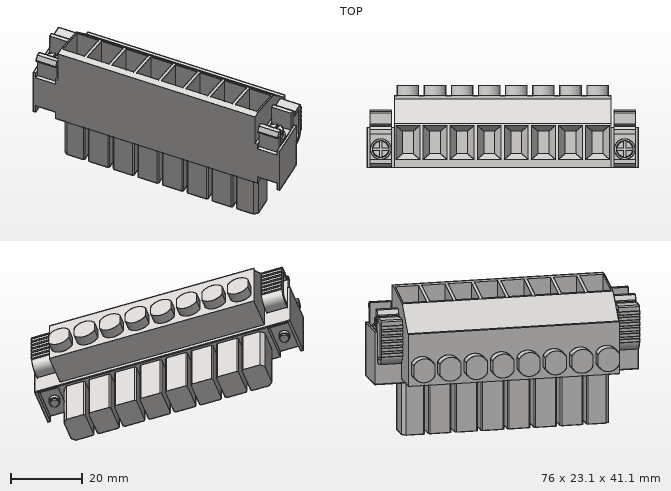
import cadquery as cq
import math


pole_count = 8
pole_pitch = 7.6
flange_width = 7.6
body_width = pole_count * pole_pitch
total_width = body_width + 2 * flange_width
first_pole_x = -(pole_count - 1) * pole_pitch / 2
pole_centers = [first_pole_x + i * pole_pitch for i in range(pole_count)]
flange_center = (body_width + flange_width) / 2

leg_length = 15.4
top_z = 41.15
body_depth = 20.2
rear_bottom_z = 16.8
rear_ledge_z = 31.85
rear_slope_y = 19.2
ridge_y = 12.35
ridge_z = 38.8
rim_depth = 2.45
flange_depth = 11.3
flange_top_z = 30.8
flange_bevel = 0.2

funnel_width = 6.7
funnel_front_y = 2.3
funnel_rear_y = 11.8
funnel_floor_width = 3.05
funnel_floor_front_y = 3.9
funnel_floor_rear_y = 10.2
funnel_start_z = 28.95
funnel_floor_z = 26.2

collar_diameter = 6.9
collar_width = 6.1
collar_length = 2.9
collar_z = 21.8

leg_width = 6.55
leg_front_y = 2.5
leg_rear_y = 10.4
leg_bevel = 0.4
end_bevel_x = 1.1
end_bevel_y = 1.0

clip_width = 6.1
clip_bottom_z = 21.8
seat_z = 30.3
post_thickness = 1.2
front_post_y = 1.1
rear_post_y = 10.7
hook_reach = 0.9
hook_top_z = 36.95
hook_tip_z = 35.65
hook_under_z = 35.3
lever_thickness = 1.3
lever_rear_y = 15.8
lever_radius = 2.7
lever_top_z = 35.1
lever_corner = 0.4
lever_tip_y = 11.7
lever_tip_slope = 0.45
tooth_count = 6
tooth_pitch = 1.6
tooth_height = 0.9
tooth_depth = 0.45
first_tooth_top_z = 33.5

front_notch_z = 28.95
relief_top_z = 17.9
relief_depth = 10.7

screw_y = 5.2
shaft_radius = 1.5
tip_radius = 1.3
tip_z = 16.1
shaft_end_z = 16.8
washer_radius = 2.9
washer_top_z = 31.2
head_radius = 2.4
head_top_z = 33.2
head_bevel = 0.15
slot_width = 0.7
slot_depth = 0.9


def box(x_center, width, y_front, y_rear, z_bottom, z_top):
    """Block centred on x_center, between the given Y and Z limits."""
    start = cq.Workplane("XY", origin=(x_center, y_front, z_bottom))
    return start.box(width, y_rear - y_front, z_top - z_bottom, centered=(True, False, False))


def cylinder(x_center, radius, z_bottom, z_top):
    """Upright cylinder on the axis of a flange screw."""
    start = cq.Workplane("XY", origin=(x_center, screw_y, z_bottom))
    return start.circle(radius).extrude(z_top - z_bottom)


def prism(outline, x_center, width):
    """Closed YZ outline swept along X by width, centred on x_center."""
    return outline.close().extrude(width / 2, both=True).translate((x_center, 0, 0))


def terminal_block():
    """Stepped block over all poles, on a bar that reaches past both ends of it as the two flanges."""
    outline = cq.Workplane("YZ").polyline([
        (0, rear_bottom_z),
        (0, top_z),
        (rim_depth, top_z),
        (ridge_y, ridge_z),
        (rear_slope_y, rear_ledge_z),
        (body_depth, rear_ledge_z),
        (body_depth, rear_bottom_z),
    ])
    flange_bar = box(0, total_width, 0, flange_depth, leg_length, flange_top_z)
    flange_bar = flange_bar.edges("|X and >Y and <Z").chamfer(flange_bevel)
    return prism(outline, 0, body_width).union(flange_bar)


def wire_funnel(x):
    """Straight shaft open at the top, narrowing to a flat rectangular floor."""
    center_y = (funnel_front_y + funnel_rear_y) / 2
    floor_y = (funnel_floor_front_y + funnel_floor_rear_y) / 2
    shaft = box(x, funnel_width, funnel_front_y, funnel_rear_y, funnel_start_z, top_z)
    taper = (
        cq.Workplane("XY", origin=(x, 0, funnel_start_z))
        .center(0, center_y)
        .rect(funnel_width, funnel_rear_y - funnel_front_y)
        .workplane(offset=funnel_floor_z - funnel_start_z)
        .center(0, floor_y - center_y)
        .rect(funnel_floor_width, funnel_floor_rear_y - funnel_floor_front_y)
        .loft(ruled=True)
    )
    return shaft.union(taper)


def collar(x):
    """Round collar on the rear face, flattened on both sides."""
    disc = (
        cq.Workplane("XZ", origin=(x, body_depth + collar_length, collar_z))
        .circle(collar_diameter / 2)
        .extrude(collar_length)
    )
    bottom_z = collar_z - collar_diameter / 2
    flats = box(x, collar_width, body_depth, body_depth + collar_length, bottom_z, bottom_z + collar_diameter)
    return disc.intersect(flats)


def leg(index):
    """Plug leg with bevelled corners; the outer corners of the end legs are cut back further."""
    x = pole_centers[index]
    left = x - leg_width / 2
    right = x + leg_width / 2
    left_bevel = (end_bevel_x, end_bevel_y) if index == 0 else (leg_bevel, leg_bevel)
    right_bevel = (end_bevel_x, end_bevel_y) if index == pole_count - 1 else (leg_bevel, leg_bevel)
    outline = [
        (left + left_bevel[0], leg_front_y),
        (right - right_bevel[0], leg_front_y),
        (right, leg_front_y + right_bevel[1]),
        (right, leg_rear_y - right_bevel[1]),
        (right - right_bevel[0], leg_rear_y),
        (left + left_bevel[0], leg_rear_y),
        (left, leg_rear_y - left_bevel[1]),
        (left, leg_front_y + left_bevel[1]),
    ]
    return cq.Workplane("XY").polyline(outline).close().extrude(leg_length)


def clip_pocket(side):
    """Pocket that holds a clip, open at the top, at the rear and through a notch in the front wall."""
    x = side * flange_center
    pocket = box(x, clip_width, front_post_y, flange_depth, clip_bottom_z, flange_top_z)
    notch = box(x, clip_width, 0, front_post_y, front_notch_z, flange_top_z)
    return pocket.union(notch)


def screw_passage(side):
    """Relief open to the front and bottom around the screw tip, and the hole above it."""
    x = side * flange_center
    relief = box(x, clip_width, 0, relief_depth, leg_length, relief_top_z)
    return relief.union(cylinder(x, shaft_radius, relief_top_z, clip_bottom_z))


def make_housing():
    housing = terminal_block()
    for index, x in enumerate(pole_centers):
        housing = housing.cut(wire_funnel(x))
        housing = housing.union(collar(x)).union(leg(index))
    for side in (-1, 1):
        housing = housing.cut(clip_pocket(side)).cut(screw_passage(side))
    return housing


def hooked_post(x, outer_y, outward):
    """Post whose hook points along outward, +1 to the rear or -1 to the front."""
    inner_y = outer_y - outward * post_thickness
    tip_y = outer_y + outward * hook_reach
    outline = cq.Workplane("YZ").polyline([
        (inner_y, clip_bottom_z),
        (inner_y, hook_top_z),
        (outer_y, hook_top_z),
        (tip_y, hook_tip_z),
        (tip_y, hook_under_z),
        (outer_y, hook_under_z),
        (outer_y, clip_bottom_z),
    ])
    return prism(outline, x, clip_width)


def lever(x):
    """Finger lever leaving the base to the rear, curving upward and folding forward at its top."""
    inner_y = lever_rear_y - lever_thickness
    inner_radius = lever_radius - lever_thickness
    bend_y = lever_rear_y - lever_radius
    bend_z = clip_bottom_z + lever_radius
    diagonal = math.sqrt(0.5)
    outline = (
        cq.Workplane("YZ")
        .moveTo(rear_post_y, clip_bottom_z)
        .lineTo(bend_y, clip_bottom_z)
        .threePointArc(
            (bend_y + lever_radius * diagonal, bend_z - lever_radius * diagonal),
            (lever_rear_y, bend_z),
        )
        .lineTo(lever_rear_y, lever_top_z - lever_corner)
        .lineTo(lever_rear_y - lever_corner, lever_top_z)
        .lineTo(lever_tip_y + lever_tip_slope, lever_top_z)
        .lineTo(lever_tip_y, lever_top_z - lever_thickness)
        .lineTo(inner_y, lever_top_z - lever_thickness)
        .lineTo(inner_y, bend_z)
        .threePointArc(
            (bend_y + inner_radius * diagonal, bend_z - inner_radius * diagonal),
            (bend_y, bend_z - inner_radius),
        )
        .lineTo(rear_post_y, bend_z - inner_radius)
    )
    return prism(outline, x, clip_width)


def make_clip(side):
    x = side * flange_center
    clip = box(x, clip_width, front_post_y, rear_post_y, clip_bottom_z, seat_z)
    clip = clip.union(hooked_post(x, front_post_y, -1)).union(hooked_post(x, rear_post_y, 1))
    clip = clip.union(lever(x))
    for i in range(tooth_count):
        tooth_top = first_tooth_top_z - i * tooth_pitch
        tooth_tip_y = lever_rear_y + tooth_depth
        tooth = box(x, clip_width, lever_rear_y, tooth_tip_y, tooth_top - tooth_height, tooth_top)
        clip = clip.union(tooth)
    return clip.cut(cylinder(x, shaft_radius, clip_bottom_z, seat_z))


def make_screw(side):
    x = side * flange_center
    head = cylinder(x, head_radius, washer_top_z, head_top_z).faces(">Z").chamfer(head_bevel)
    slot_bottom = head_top_z - slot_depth
    for width, depth in ((2 * head_radius, slot_width), (slot_width, 2 * head_radius)):
        head = head.cut(box(x, width, screw_y - depth / 2, screw_y + depth / 2, slot_bottom, head_top_z))
    screw = cylinder(x, washer_radius, seat_z, washer_top_z).union(head)
    screw = screw.union(cylinder(x, shaft_radius, shaft_end_z, seat_z))
    return screw.union(cylinder(x, tip_radius, tip_z, shaft_end_z))


housing = make_housing()
clips = [make_clip(side) for side in (-1, 1)]
screws = [make_screw(side) for side in (-1, 1)]

result = cq.Compound.makeCompound([
    housing.val(),
    *[clip.val() for clip in clips],
    *[screw.val() for screw in screws],
])